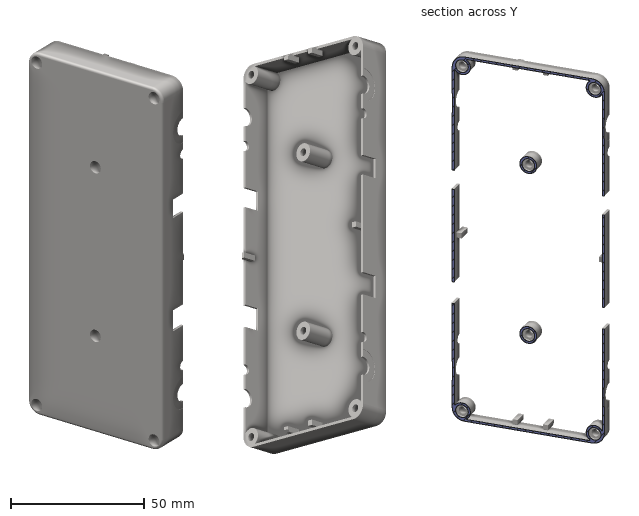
import cadquery as cq

width = 62.0
height = 150
total_depth = 16.0
tab_rise = 2.8
corner_radius = 5.1
floor_edge_radius = 1.0
wall = 1.0

screw_diameter = 3
counterbore_diameter = 5.0
counterbore_depth = 9
post_diameter = 7.0
corner_screw_inset = 4.0
middle_screw_z = 35.0

cable_hole_diameter = 7.0
cable_recess_diameter = 13.0
cable_recess_depth = 0.2
cable_z = 55.0
small_hole_diameter = 3.9
small_hole_z = 43.8
slot_depth = 6.8
upper_slot = (19.8, 27.5)
lower_slot = (-27.2, -18.5)

tab_size = 2.1
tab_inset = wall
tab_root = 3
tab_chamfer = 0.9
end_tab_x = 6.2

half_width = width / 2
half_height = height / 2
floor_y = -total_depth / 2
tab_top_y = total_depth / 2
rim_y = tab_top_y - tab_rise
screw_x = half_width - corner_screw_inset
screw_z = half_height - corner_screw_inset


def plane_at(y):
    """Plane facing +Y, with local axes along +Z and +X."""
    return cq.Plane(origin=(0, y, 0), xDir=(0, 0, 1), normal=(0, 1, 0))


def rounded_block(inset, y_start):
    """Block with rounded corners, inset from the outer walls and reaching the rim."""
    sketch = cq.Workplane(plane_at(y_start)).rect(height - 2 * inset, width - 2 * inset)
    return sketch.extrude(rim_y - y_start).edges("|Y").fillet(corner_radius - inset)


def cylinders_along_y(points, diameter, y_start, y_end):
    local_points = [(z, x) for x, z in points]
    sketch = cq.Workplane(plane_at(y_start)).pushPoints(local_points).circle(diameter / 2)
    return sketch.extrude(y_end - y_start)


def cylinder_along_x(diameter, z, x_start, x_end):
    """Cylinder centred on the rim, so it cuts a half-round opening."""
    sketch = cq.Workplane("YZ", origin=(x_start, 0, 0)).center(rim_y, z).circle(diameter / 2)
    return sketch.extrude(x_end - x_start)


def box_between(x, y, z):
    size = (x[1] - x[0], y[1] - y[0], z[1] - z[0])
    return cq.Workplane("XY", origin=(x[0], y[0], z[0])).box(*size, centered=False)


def tab(along, wall_distance, turn, chamfered):
    """Tab inside the +Z wall, then turned about Y onto its own wall."""
    outer_face = wall_distance - tab_inset
    block = box_between(
        (along - tab_size / 2, along + tab_size / 2),
        (rim_y - tab_root, tab_top_y),
        (outer_face - tab_size, outer_face),
    )
    if chamfered:
        block = block.faces(">Y").edges(">Z").chamfer(tab_chamfer)
    return block.rotate((0, 0, 0), (0, 1, 0), turn)


outer = rounded_block(0, floor_y).faces("<Y").edges().fillet(floor_edge_radius)
tray = outer.cut(rounded_block(wall, floor_y + wall))

screws = [(x, z) for x in (-screw_x, screw_x) for z in (-screw_z, screw_z)]
screws += [(0, -middle_screw_z), (0, middle_screw_z)]
tray = tray.union(cylinders_along_y(screws, post_diameter, floor_y, rim_y).intersect(outer))
tray = tray.cut(cylinders_along_y(screws, screw_diameter, floor_y, rim_y))
tray = tray.cut(cylinders_along_y(screws, counterbore_diameter, floor_y, floor_y + counterbore_depth))

recess_x = half_width - cable_recess_depth
for side in (-1, 1):
    cable = side * cable_z
    tray = tray.cut(cylinder_along_x(cable_hole_diameter, cable, -half_width, half_width))
    tray = tray.cut(cylinder_along_x(cable_recess_diameter, cable, -half_width, -recess_x))
    tray = tray.cut(cylinder_along_x(cable_recess_diameter, cable, recess_x, half_width))
    tray = tray.cut(cylinder_along_x(small_hole_diameter, side * small_hole_z, -half_width, half_width))

for slot in (lower_slot, upper_slot):
    tray = tray.cut(box_between((-half_width, half_width), (rim_y - slot_depth, rim_y), slot))

tabs = [
    tab(-end_tab_x, half_height, 0, False),
    tab(end_tab_x, half_height, 0, True),
    tab(end_tab_x, half_height, 180, False),
    tab(-end_tab_x, half_height, 180, True),
    tab(0, half_width, -90, False),
    tab(0, half_width, 90, True),
]
for rim_tab in tabs:
    tray = tray.union(rim_tab)

result = tray